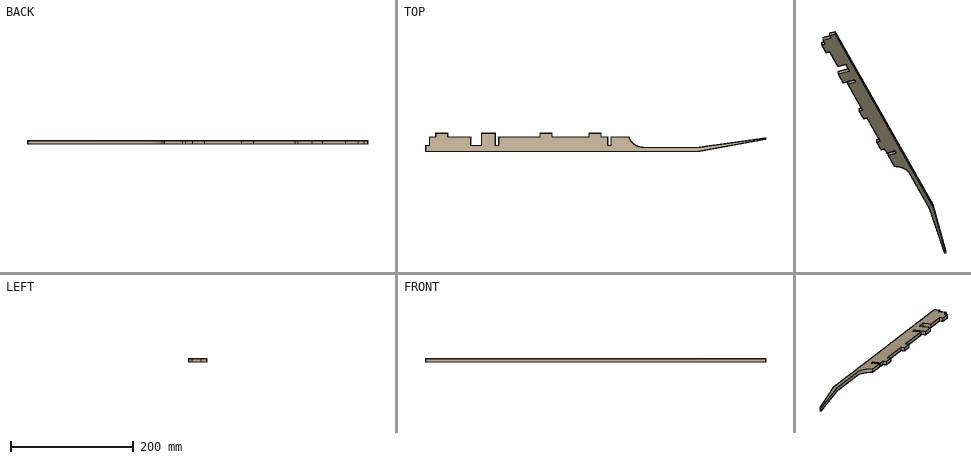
import cadquery as cq
import math

THICKNESS = 6.0
LUG_LENGTH = 6.3
TAIL_LENGTH = 110.0
TAIL_START = LUG_LENGTH + 440.0
LENGTH = TAIL_START + TAIL_LENGTH

FLOOR_HEIGHT = 10.0
BODY_HEIGHT = 24.0
PAD_HEIGHT = 30.0
STRIP_HEIGHT = 7.0
TIP_LOWER_HEIGHT = 20.2
TIP_UPPER_HEIGHT = 22.3
TIP_SETBACK = 0.5

BODY_END = LUG_LENGTH + 326.0
RUNOUT_RADIUS = 25.0
RUNOUT_CENTER_RISE = STRIP_HEIGHT + RUNOUT_RADIUS - BODY_HEIGHT
RUNOUT_END = BODY_END + math.sqrt(RUNOUT_RADIUS**2 - RUNOUT_CENTER_RISE**2)

PAD_WIDTH = 20.0
PAD_STARTS = (16.5, 187.0, 267.0)
TALL_PAD_START = LUG_LENGTH + 85.0
TALL_PAD_END = TALL_PAD_START + 23.0

WIDE_NOTCH_WIDTH = 17.0
NARROW_NOTCH_WIDTH = 5.25
LAST_NOTCH_START = LUG_LENGTH + 291.5


def plate(x_start, x_end, y_start, y_end):
    """Rectangular plate of the common thickness."""
    outline = cq.Workplane("XY").moveTo(x_start, y_start)
    outline = outline.lineTo(x_end, y_start).lineTo(x_end, y_end).lineTo(x_start, y_end).close()
    return outline.extrude(THICKNESS)


def bar_blank():
    """Lug and body, then a concave arc tangent to the strip, then the upturned tapering tail."""
    return (
        cq.Workplane("XY")
        .lineTo(TAIL_START, 0)
        .lineTo(LENGTH, TIP_LOWER_HEIGHT)
        .lineTo(LENGTH - TIP_SETBACK, TIP_UPPER_HEIGHT)
        .lineTo(TAIL_START, STRIP_HEIGHT)
        .lineTo(RUNOUT_END, STRIP_HEIGHT)
        .radiusArc((BODY_END, BODY_HEIGHT), RUNOUT_RADIUS)
        .lineTo(LUG_LENGTH, BODY_HEIGHT)
        .lineTo(LUG_LENGTH, FLOOR_HEIGHT)
        .lineTo(0, FLOOR_HEIGHT)
        .close()
        .extrude(THICKNESS)
    )


def add_pads(bar):
    """Three equal pads and one wider pad between the first two notches."""
    spans = [(start, start + PAD_WIDTH) for start in PAD_STARTS]
    spans.append((TALL_PAD_START, TALL_PAD_END))
    for start, end in spans:
        bar = bar.union(plate(start, end, FLOOR_HEIGHT, PAD_HEIGHT))
    return bar


def cut_notches(bar):
    """One wide and one narrow notch beside the wider pad, and a narrow notch near the body end."""
    spans = (
        (TALL_PAD_START - WIDE_NOTCH_WIDTH, TALL_PAD_START),
        (TALL_PAD_END, TALL_PAD_END + NARROW_NOTCH_WIDTH),
        (LAST_NOTCH_START, LAST_NOTCH_START + NARROW_NOTCH_WIDTH),
    )
    for start, end in spans:
        bar = bar.cut(plate(start, end, FLOOR_HEIGHT, PAD_HEIGHT))
    return bar


result = cut_notches(add_pads(bar_blank()))